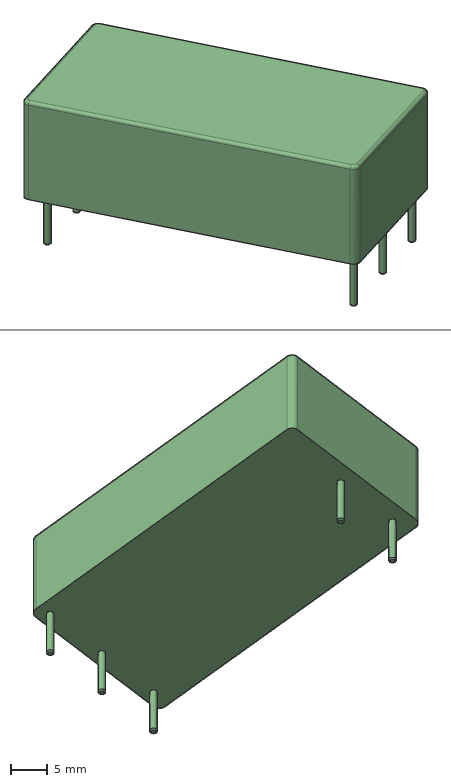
import cadquery as cq

length = 50.1
width = 25.4
housing_height = 15.15
corner_radius = 1.05
top_radius = 0.5

pin_diameter = 1.05
pin_length = 7.95
pin_tip_chamfer = 0.2
row_spacing = 45.65
pin_pitch = 10.15
pattern_center_x = 0.4
pattern_center_y = 0.45

left_row_steps = (-1, 0)
right_row_steps = (-1, 0, 1)


def make_housing():
    """Block standing on Z = 0 with rounded vertical corners and a rounded top rim."""
    block = cq.Workplane("XY").box(length, width, housing_height, centered=(True, True, False))
    return block.edges("|Z").fillet(corner_radius).faces(">Z").edges().fillet(top_radius)


def make_pin(x, y):
    """Round pin hanging from the housing underside, with a chamfered tip."""
    pin = cq.Workplane("XY").center(x, y).circle(pin_diameter / 2).extrude(-pin_length)
    return pin.faces("<Z").edges().chamfer(pin_tip_chamfer)


housing = make_housing()

left_row_x = pattern_center_x - row_spacing / 2
right_row_x = pattern_center_x + row_spacing / 2
pins = []
for row_x, row_steps in ((left_row_x, left_row_steps), (right_row_x, right_row_steps)):
    for step in row_steps:
        pins.append(make_pin(row_x, pattern_center_y + step * pin_pitch))

result = cq.Compound.makeCompound([housing.val(), *[pin.val() for pin in pins]])